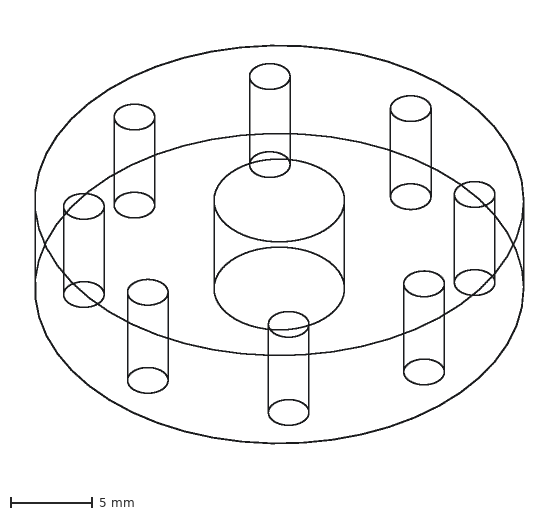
import cadquery as cq

disc_diameter = 30.0
disc_thickness = 7.0

bore_diameter = 8.0
bolt_hole_diameter = 2.5
bolt_circle_diameter = 24.0
bolt_hole_count = 8


def make_disc():
    """Plain disc centred on the Z axis, resting on the XY plane."""
    return cq.Workplane("XY").circle(disc_diameter / 2).extrude(disc_thickness)


def cut_bore(body):
    """Central through bore."""
    return body.faces(">Z").workplane().hole(bore_diameter)


def cut_bolt_holes(body):
    """Ring of evenly spaced through holes, the first one on the +X axis."""
    return (
        body.faces(">Z")
        .workplane()
        .polarArray(bolt_circle_diameter / 2, 0, 360, bolt_hole_count)
        .hole(bolt_hole_diameter)
    )


result = cut_bolt_holes(cut_bore(make_disc()))